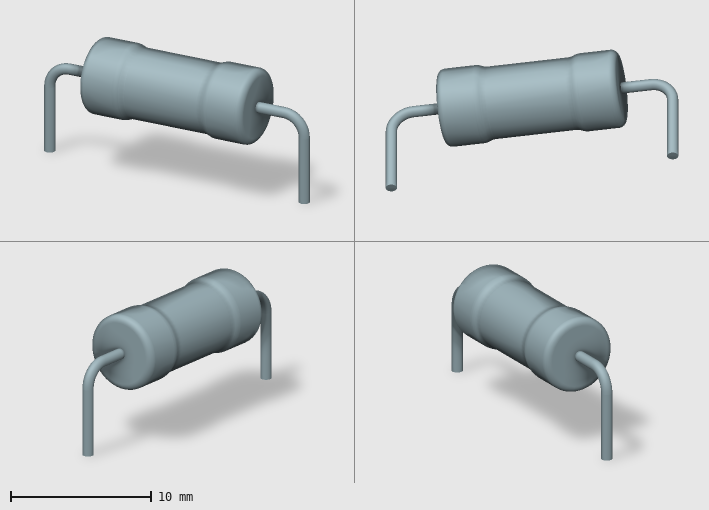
import cadquery as cq
import math

lead_span = 21.18
lead_diameter = 0.8
bend_radius = 1.6
body_length = 13.0
cap_diameter = 5.6
waist_diameter = 5.2
rim_radius = 0.5
cap_length = 2.7
blend_length = 0.9
lead_drop = 6.6

lead_radius = lead_diameter / 2
half_length = body_length / 2
cap_radius = cap_diameter / 2
waist_radius = waist_diameter / 2
lead_x = lead_span / 2 - lead_radius


def make_body():
    """Dumbbell-shaped body turned about the X axis."""
    shoulder_x = half_length - cap_length
    waist_x = shoulder_x - blend_length
    blend_mid_x = (shoulder_x + waist_x) / 2
    blend_mid_radius = (cap_radius + waist_radius) / 2
    rim_x = half_length - rim_radius
    end_face_radius = cap_radius - rim_radius
    rim_mid = rim_radius * math.sqrt(0.5)
    rim_mid_x = rim_x + rim_mid
    rim_mid_radius = end_face_radius + rim_mid

    return (
        cq.Workplane("XZ")
        .moveTo(-half_length, 0)
        .lineTo(-half_length, end_face_radius)
        .threePointArc((-rim_mid_x, rim_mid_radius), (-rim_x, cap_radius))
        .lineTo(-shoulder_x, cap_radius)
        .tangentArcPoint((-blend_mid_x, blend_mid_radius), relative=False)
        .tangentArcPoint((-waist_x, waist_radius), relative=False)
        .lineTo(waist_x, waist_radius)
        .tangentArcPoint((blend_mid_x, blend_mid_radius), relative=False)
        .tangentArcPoint((shoulder_x, cap_radius), relative=False)
        .lineTo(rim_x, cap_radius)
        .threePointArc((rim_mid_x, rim_mid_radius), (half_length, end_face_radius))
        .lineTo(half_length, 0)
        .close()
        .revolve(360, (0, 0, 0), (1, 0, 0))
    )


def make_lead(side):
    """Bent wire from the end face (side = -1 or +1) out and down to its tip."""
    bend_start_x = lead_x - bend_radius
    bend_mid = bend_radius * math.sqrt(0.5)
    path = (
        cq.Workplane("XZ")
        .moveTo(side * half_length, 0)
        .lineTo(side * bend_start_x, 0)
        .threePointArc(
            (side * (bend_start_x + bend_mid), bend_mid - bend_radius),
            (side * lead_x, -bend_radius),
        )
        .lineTo(side * lead_x, -lead_drop)
    )
    section = cq.Workplane("YZ", origin=(side * half_length, 0, 0)).circle(lead_radius)
    return section.sweep(path)


body = make_body()
leads = [make_lead(side) for side in (-1, 1)]

result = cq.Compound.makeCompound([body.val(), *[lead.val() for lead in leads]])